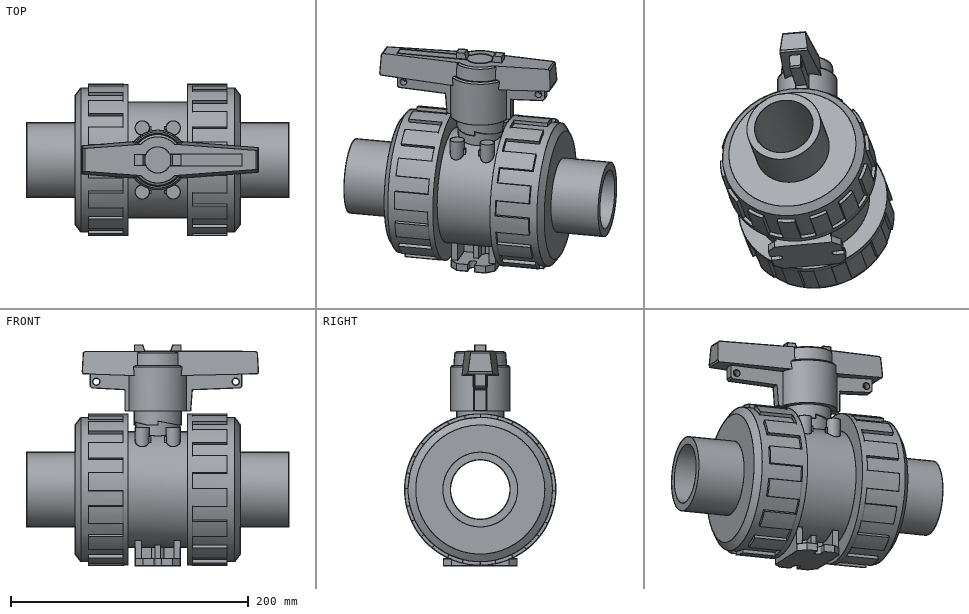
import cadquery as cq

pipe_length = 221
pipe_diameter = 63.0
pipe_radius = pipe_diameter / 2
bore_radius = 25.0
body_radius = 48.8
body_length = 49.7

nut_inner_x = body_length / 2
rib_start_x = 29.5
rib_end_x = 58.3
nut_chamfer_x = 64.8
nut_outer_x = 69.6
nut_radius = 60.8
nut_face_radius = 54.4
collar_diameter = 127.5
collar_radius = collar_diameter / 2
rib_count = 14
rib_pitch = 360 / rib_count
rib_angle = 13.8
first_rib_angle = rib_pitch / 2 - rib_angle

stem_base_z = 33.2
neck_radius = 18.5
cam_radius = 20
cam_bottom_z = 54.1
cam_step_height = 3.5
cam_ramp_height = 2.9
cam_ramp_start = 8.2
pin_radius = 6.0
pin_x = 13.0
pin_y = 27.0
pin_top_z = 52.2
lug_half_width = 1.3
lug_reach = 7.3
lug_top_z = 44.6

hub_diameter = 50.2
hub_radius = hub_diameter / 2
hub_bottom_z = 66.0
hub_shoulder_z = 104.3
hub_chamfer = 1.3
hub_slot_width = 11.5
stem_core_radius = cam_radius
stem_core_top_z = 86.6
cap_base_radius = 22.3
cap_top_radius = 21.5
cap_chamfer_width = 2.0
cap_chamfer_height = 1.0

handle_top_z = 116.2
handle_hub_z = 96.1
handle_end_z = 97.5
handle_left = -63.6
handle_right = 84.9
handle_middle_width = 33.8
handle_plan_taper = 0.075
handle_side_lean = 2.7
handle_end_lean = 0.9
handle_end_chamfer = 1.3
handle_lip_width = 0.7
handle_lip_height = 1.8

plate_thickness = 9.3
plate_left = -57.0
plate_right = 71.0
plate_tip_z = 85.5
plate_root_z = 84
plate_corner = 1.5
plate_overlap = 2.2
fin_corner = 0.7
fin_left = -27.6
fin_right_bottom = 27.8
fin_right_top = 29.2
lock_hole_radius = 2.9
lock_hole_inset = 5.3
lock_hole_z = 90.8
tab_top_z = 121.8
tab_outer_x = 19.7
tab_inner_base_x = 10.8
tab_inner_top_x = 12.5
inlay_height = 0.5
inlay_disc_radius = 11
inlay_strip_width = 10.2

foot_bottom_z = -64.3
foot_top_z = -58.1
leg_root_z = -33.2
foot_length_x = 38.2
foot_half_x = foot_length_x / 2
foot_length_y = 62.0
foot_half_y = foot_length_y / 2
foot_corner = 6.6
foot_slot_radius = 3.0
foot_slot_center_y = 24.3
outer_leg_width = 5.5
outer_leg_half_y = 23.5
middle_leg_width = 4.6
middle_leg_half_y = 14.5
cross_web_width = 4.5
foot_boss_radius = 5.7


def cylinder_z(radius, bottom, top):
    return cq.Workplane("XY").workplane(offset=bottom).circle(radius).extrude(top - bottom)


def block(x_range, y_range, z_range):
    size = [high - low for low, high in (x_range, y_range, z_range)]
    corner = (x_range[0], y_range[0], z_range[0])
    return cq.Workplane("XY").box(*size, centered=False).translate(corner)


def prism_y(points, thickness):
    """Extrude an XZ outline symmetrically about the XZ plane."""
    return cq.Workplane("XZ").polyline(points).close().extrude(thickness / 2, both=True)


def make_nut():
    """Nut on the +X side: a plain sleeve, an inner flange and raised grip ribs."""
    profile = [
        (nut_inner_x, 0),
        (nut_inner_x, collar_radius),
        (rib_start_x, collar_radius),
        (rib_start_x, nut_radius),
        (nut_chamfer_x, nut_radius),
        (nut_outer_x, nut_face_radius),
        (nut_outer_x, 0),
    ]
    nut = cq.Workplane("XY").polyline(profile).close().revolve(360, (0, 0, 0), (1, 0, 0))
    rib_profile = [
        (rib_start_x, body_radius),
        (rib_start_x, collar_radius),
        (rib_end_x, collar_radius),
        (rib_end_x, body_radius),
    ]
    rib = cq.Workplane("XY").polyline(rib_profile).close().revolve(rib_angle, (0, 0, 0), (1, 0, 0))
    for index in range(rib_count):
        nut = nut.union(rib.rotate((0, 0, 0), (1, 0, 0), first_rib_angle + index * rib_pitch))
    return nut


def make_stem():
    """Neck with a wider cam ring whose lower edge steps and ramps on both sides."""
    neck = cylinder_z(neck_radius, stem_base_z, hub_bottom_z)
    ring = cylinder_z(cam_radius, cam_bottom_z, hub_bottom_z)
    step = [
        (0, cam_bottom_z),
        (0, cam_bottom_z + cam_step_height),
        (neck_radius, cam_bottom_z),
    ]
    ramp = [
        (-cam_ramp_start, cam_bottom_z),
        (-cam_radius, cam_bottom_z + cam_ramp_height),
        (-cam_radius, cam_bottom_z),
    ]
    for outline in (step, ramp):
        cutter = cq.Workplane("XZ").polyline(outline).close().extrude(cam_radius)
        ring = ring.cut(cutter).cut(cutter.rotate((0, 0, 0), (0, 0, 1), 180))
    return neck.union(ring)


def make_guide_pins():
    """Four upright pins, each with two low lugs pointing along X and Y toward the neck."""
    pin = cylinder_z(pin_radius, stem_base_z, pin_top_z)
    z_range = (stem_base_z, lug_top_z)
    lug_x = block((-lug_reach, 0), (-lug_half_width, lug_half_width), z_range)
    lug_y = block((-lug_half_width, lug_half_width), (-lug_reach, 0), z_range)
    right_back_pin = pin.union(lug_x).union(lug_y).translate((pin_x, pin_y, 0))
    back_pins = right_back_pin.union(right_back_pin.mirror("YZ"))
    return back_pins.union(back_pins.mirror("XZ"))


def make_hub():
    """Hub slotted along X around the stem core, with a conical cap on top."""
    hub = cylinder_z(hub_radius, hub_bottom_z, hub_shoulder_z).faces(">Z").chamfer(hub_chamfer)
    half_slot = hub_slot_width / 2
    slot = block((-hub_radius, hub_radius), (-half_slot, half_slot), (hub_bottom_z, handle_hub_z))
    core = cylinder_z(stem_core_radius, hub_bottom_z, stem_core_top_z)
    cap_profile = [
        (0, hub_shoulder_z),
        (cap_base_radius, hub_shoulder_z),
        (cap_top_radius, handle_top_z - cap_chamfer_height),
        (cap_top_radius - cap_chamfer_width, handle_top_z),
        (0, handle_top_z),
    ]
    cap = cq.Workplane("XZ").polyline(cap_profile).close().revolve(360, (0, 0, 0), (0, 1, 0))
    return hub.cut(slot).union(core).union(cap)


def handle_plan(side_inset):
    """Six-sided plan outline, widest over the stem."""
    middle = handle_middle_width / 2 - side_inset
    left = middle + handle_plan_taper * handle_left
    right = middle - handle_plan_taper * handle_right
    return [
        (handle_left, -left),
        (0, -middle),
        (handle_right, -right),
        (handle_right, right),
        (0, middle),
        (handle_left, left),
    ]


def make_handle():
    """Grip bar with leaning sides, cut to its side profile."""
    bar = (
        cq.Workplane("XY")
        .workplane(offset=handle_hub_z)
        .polyline(handle_plan(0))
        .close()
        .workplane(offset=handle_top_z - handle_hub_z)
        .polyline(handle_plan(handle_side_lean))
        .close()
        .loft(ruled=True)
    )
    top_left = handle_left + handle_end_lean
    top_right = handle_right - handle_end_lean
    lip_z = handle_end_z + handle_lip_height
    shoulder_z = handle_top_z - handle_end_chamfer
    side_profile = [
        (handle_left, lip_z),
        (handle_left + handle_lip_width, handle_end_z),
        (-hub_radius, handle_hub_z),
        (hub_radius, handle_hub_z),
        (handle_right - handle_lip_width, handle_end_z),
        (handle_right, lip_z),
        (top_right, shoulder_z),
        (top_right - handle_end_chamfer, handle_top_z),
        (top_left + handle_end_chamfer, handle_top_z),
        (top_left, shoulder_z),
    ]
    return bar.intersect(prism_y(side_profile, handle_middle_width))


def make_locking_plate():
    """Plate under the handle with a deep fin through the hub and two lock holes."""
    buried_z = handle_end_z + plate_overlap
    outline = [
        (plate_left, buried_z),
        (plate_left, plate_tip_z + plate_corner),
        (plate_left + plate_corner, plate_tip_z),
        (fin_left, plate_root_z),
        (fin_left, hub_bottom_z + fin_corner),
        (fin_left + fin_corner, hub_bottom_z),
        (fin_right_bottom - fin_corner, hub_bottom_z),
        (fin_right_bottom, hub_bottom_z + fin_corner),
        (fin_right_top, plate_root_z),
        (plate_right - plate_corner, plate_tip_z),
        (plate_right, plate_tip_z + plate_corner),
        (plate_right, buried_z),
    ]
    hole_centers = [
        (plate_left + lock_hole_inset, lock_hole_z),
        (plate_right - lock_hole_inset, lock_hole_z),
    ]
    holes = (
        cq.Workplane("XZ")
        .pushPoints(hole_centers)
        .circle(lock_hole_radius)
        .extrude(plate_thickness, both=True)
    )
    return prism_y(outline, plate_thickness).cut(holes)


def make_top_details():
    """Thin raised disc and strip on the handle, and two finger tabs."""
    inlay_top_z = handle_top_z + inlay_height
    half_strip = inlay_strip_width / 2
    disc = cylinder_z(inlay_disc_radius, hub_shoulder_z, inlay_top_z)
    strip = block((0, plate_right), (-half_strip, half_strip), (hub_shoulder_z, inlay_top_z))
    tab_outline = [
        (tab_inner_base_x, hub_shoulder_z),
        (tab_inner_base_x, inlay_top_z),
        (tab_inner_top_x, tab_top_z),
        (tab_outer_x, tab_top_z),
        (tab_outer_x, hub_shoulder_z),
    ]
    tab = prism_y(tab_outline, plate_thickness)
    return disc.union(strip).union(tab).union(tab.mirror("YZ"))


def make_foot():
    """Slotted base plate carried by three legs, a cross web and a round boss."""
    height = foot_top_z - foot_bottom_z
    foot = (
        cq.Workplane("XY")
        .workplane(offset=foot_bottom_z)
        .rect(foot_length_x, foot_length_y)
        .extrude(height)
        .edges("|Z")
        .chamfer(foot_corner)
    )
    z_range = (foot_bottom_z, foot_top_z)
    slot_x = (-foot_slot_radius, foot_slot_radius)
    slot = block(slot_x, (foot_slot_center_y, foot_half_y), z_range).union(
        cylinder_z(foot_slot_radius, *z_range).translate((0, foot_slot_center_y, 0))
    )
    foot = foot.cut(slot).cut(slot.mirror("XZ"))

    leg_z = (foot_top_z, leg_root_z)
    leg_y = (-outer_leg_half_y, outer_leg_half_y)
    outer_leg = block((foot_half_x - outer_leg_width, foot_half_x), leg_y, leg_z)
    middle_leg = block(
        (-middle_leg_width / 2, middle_leg_width / 2),
        (-middle_leg_half_y, middle_leg_half_y),
        leg_z,
    )
    cross_web = block((-foot_half_x, foot_half_x), (-cross_web_width / 2, cross_web_width / 2), leg_z)
    boss = cylinder_z(foot_boss_radius, *leg_z)
    for piece in (outer_leg, outer_leg.mirror("YZ"), middle_leg, cross_web, boss):
        foot = foot.union(piece)
    return foot


pipe = cq.Workplane("YZ").circle(pipe_radius).extrude(pipe_length / 2, both=True)
bore = cq.Workplane("YZ").circle(bore_radius).extrude(pipe_length / 2, both=True)
body = cq.Workplane("YZ").circle(body_radius).extrude(nut_inner_x, both=True)
nut = make_nut()

parts = (
    body,
    nut,
    nut.rotate((0, 0, 0), (0, 0, 1), 180),
    make_stem(),
    make_guide_pins(),
    make_foot(),
    make_hub(),
    make_handle(),
    make_locking_plate(),
    make_top_details(),
)
valve = pipe
for part in parts:
    valve = valve.union(part)
result = valve.cut(bore)